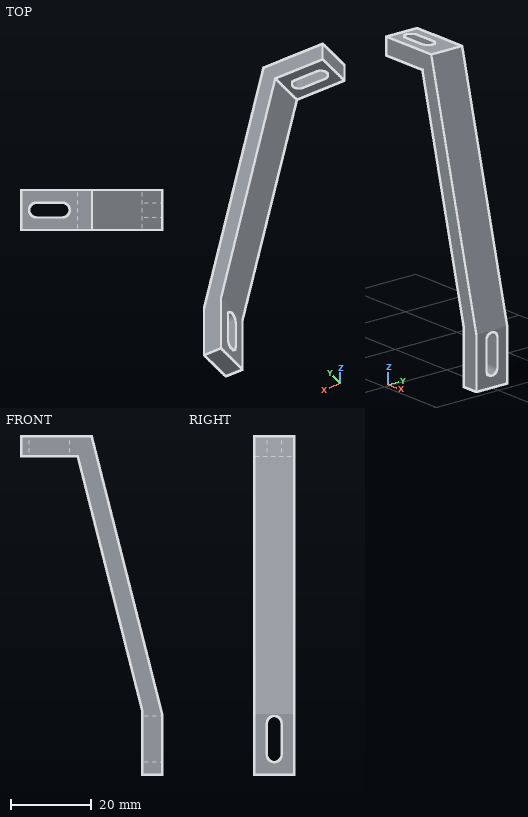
import cadquery as cq

length = 35.0
width = 10.0
height = 84.0

thickness = 5.0

arm_outer_length = length / 2
arm_inner_length = 14.0
foot_outer_height = 15.0
foot_inner_height = 15.9

slot_width = 3.6
arm_slot_length = 10.0
arm_slot_center_x = arm_inner_length / 2
foot_slot_length = 11.4
foot_slot_center_z = 8.9

arm_underside_z = height - thickness
foot_inner_x = length - thickness


def make_strap():
    """Cranked strap: profile in XZ, centred across its width on Y = 0."""
    outline = [
        (0, height),
        (arm_outer_length, height),
        (length, foot_outer_height),
        (length, 0),
        (foot_inner_x, 0),
        (foot_inner_x, foot_inner_height),
        (arm_inner_length, arm_underside_z),
        (0, arm_underside_z),
    ]
    return cq.Workplane("XZ").polyline(outline).close().extrude(width / 2, both=True)


def make_arm_slot():
    """Slot elongated along X, passing vertically through the arm."""
    return (
        cq.Workplane("XY", origin=(arm_slot_center_x, 0, arm_underside_z))
        .slot2D(arm_slot_length, slot_width)
        .extrude(thickness)
    )


def make_foot_slot():
    """Slot elongated along Z, passing through the foot in X."""
    return (
        cq.Workplane("YZ", origin=(foot_inner_x, 0, foot_slot_center_z))
        .slot2D(foot_slot_length, slot_width, angle=90)
        .extrude(thickness)
    )


result = make_strap().cut(make_arm_slot()).cut(make_foot_slot())